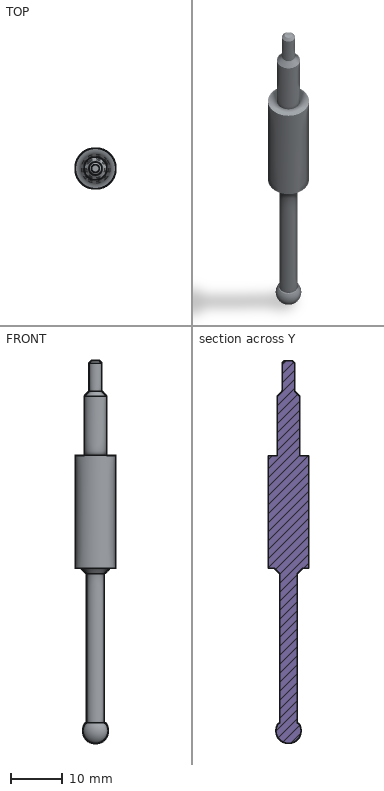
import cadquery as cq
import math

total_length = 74.5

pin_diameter = 2.5
rod_diameter = 3.5
stem_diameter = 4.5
ball_diameter = 5.0
collar_diameter = 8.0

pin_length = 5.95
stem_length = 12.5
collar_length = 22.0
ball_height = 4.0

pin_chamfer = 0.5
stem_cone_height = 1.05
root_cone_height = 1.05

pin_radius = pin_diameter / 2
rod_radius = rod_diameter / 2
stem_radius = stem_diameter / 2
ball_radius = ball_diameter / 2
collar_radius = collar_diameter / 2
root_cone_radius = rod_radius + root_cone_height

stem_top = total_length - pin_length
stem_cone_base = stem_top - stem_cone_height
collar_top = stem_top - stem_length
collar_bottom = collar_top - collar_length
root_cone_bottom = collar_bottom - root_cone_height
ball_top_radius = math.sqrt(ball_radius**2 - (ball_height - ball_radius) ** 2)

half_section = (
    cq.Workplane("XZ")
    .moveTo(0, 0)
    .threePointArc((ball_radius, ball_radius), (ball_top_radius, ball_height))
    .lineTo(rod_radius, ball_height)
    .lineTo(rod_radius, root_cone_bottom)
    .lineTo(root_cone_radius, collar_bottom)
    .lineTo(collar_radius, collar_bottom)
    .lineTo(collar_radius, collar_top)
    .lineTo(stem_radius, collar_top)
    .lineTo(stem_radius, stem_cone_base)
    .lineTo(pin_radius, stem_top)
    .lineTo(pin_radius, total_length - pin_chamfer)
    .lineTo(pin_radius - pin_chamfer, total_length)
    .lineTo(0, total_length)
    .close()
)

result = half_section.revolve(360, (0, 0, 0), (0, 1, 0))